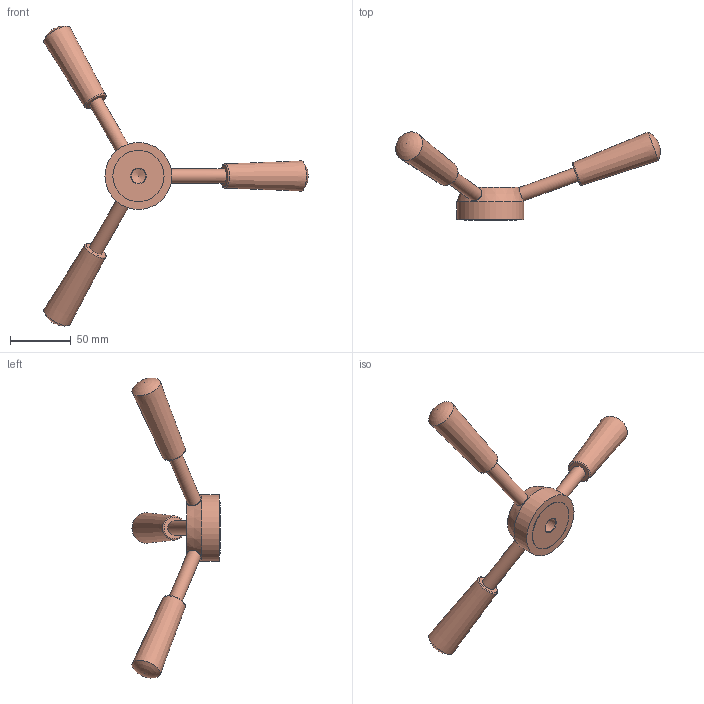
import cadquery as cq
import math

HUB_DIAMETER = 55.2
RIM_LENGTH = 14.75
TAPER_LENGTH = 12.0
PAD_DIAMETER = 42.2
PAD_HEIGHT = 0.5

HOLE_DIAMETER = 12.02
HOLE_DEPTH = 18.0
HOLE_CHAMFER = 0.5
DRILL_TIP_ANGLE = 140.0

ARM_COUNT = 3
ARM_TILT = 20.0
ROD_DIAMETER = 11.6
ROD_EMBED_IN_HUB = 5.0
ROD_LENGTH = 48.0

GRIP_LENGTH = 67.75
GRIP_BASE_DIAMETER = 20.0
GRIP_END_DIAMETER = 25.0
GRIP_ROUND = 1.0
DOME_HEIGHT = 5.0

TAPER_INSET = TAPER_LENGTH * math.tan(math.radians(ARM_TILT))
ARM_ROOT_RADIUS = (HUB_DIAMETER - TAPER_INSET) / 2
ARM_ROOT_Y = RIM_LENGTH + TAPER_LENGTH / 2


def make_hub():
    rim_radius = HUB_DIAMETER / 2
    pad_radius = PAD_DIAMETER / 2
    back_y = RIM_LENGTH + TAPER_LENGTH
    half_section = (
        cq.Workplane("XY")
        .moveTo(0, -PAD_HEIGHT)
        .lineTo(pad_radius, -PAD_HEIGHT)
        .lineTo(pad_radius, 0)
        .lineTo(rim_radius, 0)
        .lineTo(rim_radius, RIM_LENGTH)
        .lineTo(rim_radius - TAPER_INSET, back_y)
        .lineTo(0, back_y)
        .close()
    )
    return half_section.revolve(360, (0, 0, 0), (0, 1, 0))


def make_hole():
    """Chamfered blind hole with a conical drill point, as a solid to cut away."""
    radius = HOLE_DIAMETER / 2
    front_y = -PAD_HEIGHT
    bottom_y = front_y + HOLE_DEPTH
    tip_y = bottom_y + radius / math.tan(math.radians(DRILL_TIP_ANGLE / 2))
    half_section = (
        cq.Workplane("XY")
        .moveTo(0, front_y)
        .lineTo(radius + HOLE_CHAMFER, front_y)
        .lineTo(radius, front_y + HOLE_CHAMFER)
        .lineTo(radius, bottom_y)
        .lineTo(0, tip_y)
        .close()
    )
    return half_section.revolve(360, (0, 0, 0), (0, 1, 0))


def make_straight_arm():
    """Rod and grip along +X, with the origin where the arm leaves the hub."""
    rod = (
        cq.Workplane("YZ", origin=(-ROD_EMBED_IN_HUB, 0, 0))
        .circle(ROD_DIAMETER / 2)
        .extrude(ROD_EMBED_IN_HUB + ROD_LENGTH + GRIP_LENGTH / 2)
    )
    base_radius = GRIP_BASE_DIAMETER / 2
    end_radius = GRIP_END_DIAMETER / 2
    dome_x = ROD_LENGTH + GRIP_LENGTH
    tip_x = dome_x + DOME_HEIGHT
    dome_radius = (end_radius**2 + DOME_HEIGHT**2) / (2 * DOME_HEIGHT)
    half_dome_angle = math.asin(end_radius / dome_radius) / 2
    dome_mid = (
        tip_x - dome_radius * (1 - math.cos(half_dome_angle)),
        dome_radius * math.sin(half_dome_angle),
    )
    grip = (
        cq.Workplane("XY")
        .moveTo(ROD_LENGTH, 0)
        .lineTo(ROD_LENGTH, base_radius)
        .lineTo(dome_x, end_radius)
        .threePointArc(dome_mid, (tip_x, 0))
        .close()
        .revolve(360, (0, 0, 0), (1, 0, 0))
        .faces("<X")
        .edges()
        .fillet(GRIP_ROUND)
    )
    return rod.union(grip)


def make_arm(index):
    return (
        make_straight_arm()
        .rotate((0, 0, 0), (0, 0, 1), ARM_TILT)
        .translate((ARM_ROOT_RADIUS, ARM_ROOT_Y, 0))
        .rotate((0, 0, 0), (0, 1, 0), index * 360 / ARM_COUNT)
    )


result = make_hub()
for arm_index in range(ARM_COUNT):
    result = result.union(make_arm(arm_index))
result = result.cut(make_hole())